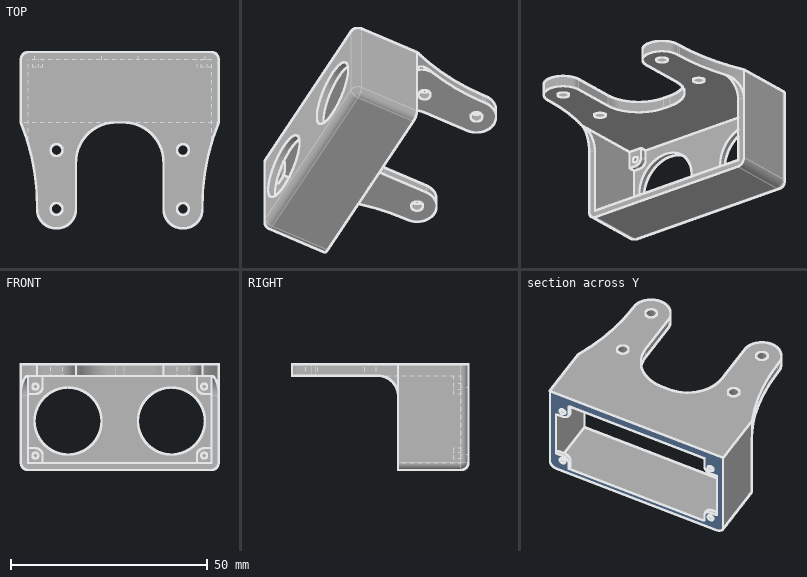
import cadquery as cq
import math

width = 50.45
length = 45.0
height = 27.0

housing_depth = 18.0
wall = 1.85
rear_wall = 1.95
plate_thickness = 3.0
outer_radius = 2.0
plate_bottom = height - plate_thickness
inner_half_width = width / 2 - wall

window_diameter = 17.0
window_x = 13.15
window_z = 12.5

post_radius = 1.85
post_length = 1.85
post_hole_diameter = 1.5
post_x = inner_half_width - post_radius
lower_post_z = wall + post_radius
upper_post_z = 2 * window_z - lower_post_z

arm_x = 16.1
arm_radius = 5.0
arm_hole_diameter = 3.0
arm_hole_spacing = 15.0
arm_end_y = -(length - arm_radius)
arm_inner_x = arm_x - arm_radius
arm_outer_x = arm_x + arm_radius
slot_corner_radius = 10.05
gusset_radius = 5.0

flank_end_y = -39.05
flank_run = flank_end_y + housing_depth
flank_offset = width / 2 - arm_outer_x
flank_radius = (flank_run**2 + flank_offset**2) / (2 * flank_offset)


def box_between(x_min, x_max, y_min, y_max, z_min, z_max):
    """Box given by its limits on each axis."""
    size = (x_max - x_min, y_max - y_min, z_max - z_min)
    return cq.Workplane("XY").box(*size, centered=False).translate((x_min, y_min, z_min))


def make_housing():
    """Box with rounded rear and lower edges, hollowed from the front."""
    body = box_between(-width / 2, width / 2, -housing_depth, 0, 0, height)
    body = body.edges("(|Z and >Y) or (<Z and (not <Y))").fillet(outer_radius)
    cavity = box_between(
        -inner_half_width, inner_half_width, -housing_depth, -rear_wall, wall, plate_bottom
    )
    return body.cut(cavity)


def make_arm_blank():
    """Right arm outline, extruded down far enough to include the gusset."""
    flank_angle = math.asin(-flank_run / flank_radius) / 2
    flank_middle = (
        arm_outer_x + flank_radius * (1 - math.cos(flank_angle)),
        flank_end_y + flank_radius * math.sin(flank_angle),
    )
    slot_start_x = arm_inner_x - slot_corner_radius
    slot_side_y = -housing_depth - slot_corner_radius
    slot_middle = (
        slot_start_x + slot_corner_radius * math.sin(math.pi / 4),
        slot_side_y + slot_corner_radius * math.cos(math.pi / 4),
    )
    return (
        cq.Workplane("XY", origin=(0, 0, height))
        .moveTo(slot_start_x, -housing_depth)
        .threePointArc(slot_middle, (arm_inner_x, slot_side_y))
        .lineTo(arm_inner_x, arm_end_y)
        .threePointArc((arm_x, -length), (arm_outer_x, arm_end_y))
        .lineTo(arm_outer_x, flank_end_y)
        .threePointArc(flank_middle, (width / 2, -housing_depth))
        .close()
        .extrude(-(plate_thickness + gusset_radius))
    )


def make_gusset_profile():
    """Concave block joining the front edge of the side wall to the arm."""
    gusset_bottom = plate_bottom - gusset_radius
    block = box_between(
        inner_half_width, width / 2,
        -housing_depth - gusset_radius, -housing_depth,
        gusset_bottom, plate_bottom,
    )
    hollow = (
        cq.Workplane("YZ", origin=(inner_half_width, 0, 0))
        .center(-housing_depth - gusset_radius, gusset_bottom)
        .circle(gusset_radius)
        .extrude(wall)
    )
    return block.cut(hollow)


def make_arm():
    """Right arm with its gusset trimmed to the arm outline."""
    blank = make_arm_blank()
    plate = box_between(0, width / 2, -length, -housing_depth, plate_bottom, height)
    return blank.intersect(plate.union(make_gusset_profile()))


def make_post(side, post_z, to_wall_z):
    """Corner post, rounded towards the middle and square towards both walls."""
    base_y = -rear_wall
    front_y = base_y - post_length
    center_x = side * post_x
    wall_x = side * inner_half_width
    z_min, z_max = sorted((post_z, to_wall_z))
    x_min, x_max = sorted((center_x, wall_x))
    rounded = (
        cq.Workplane("XZ", origin=(center_x, base_y, post_z)).circle(post_radius).extrude(post_length)
    )
    toward_horizontal_wall = box_between(
        center_x - post_radius, center_x + post_radius, front_y, base_y, z_min, z_max
    )
    toward_side_wall = box_between(
        x_min, x_max, front_y, base_y, post_z - post_radius, post_z + post_radius
    )
    hole = (
        cq.Workplane("XZ", origin=(center_x, base_y, post_z))
        .circle(post_hole_diameter / 2)
        .extrude(post_length)
    )
    return rounded.union(toward_horizontal_wall).union(toward_side_wall).cut(hole)


right_arm = make_arm()
result = make_housing().union(right_arm).union(right_arm.mirror("YZ"))
for side in (-1, 1):
    result = result.union(make_post(side, lower_post_z, wall))
    result = result.union(make_post(side, upper_post_z, plate_bottom))

windows = (
    cq.Workplane("XZ")
    .pushPoints([(-window_x, window_z), (window_x, window_z)])
    .circle(window_diameter / 2)
    .extrude(housing_depth)
)
result = result.cut(windows)

arm_holes = (
    cq.Workplane("XY", origin=(0, 0, plate_bottom))
    .pushPoints([(x, arm_end_y + step) for x in (-arm_x, arm_x) for step in (0, arm_hole_spacing)])
    .circle(arm_hole_diameter / 2)
    .extrude(plate_thickness)
)
result = result.cut(arm_holes)